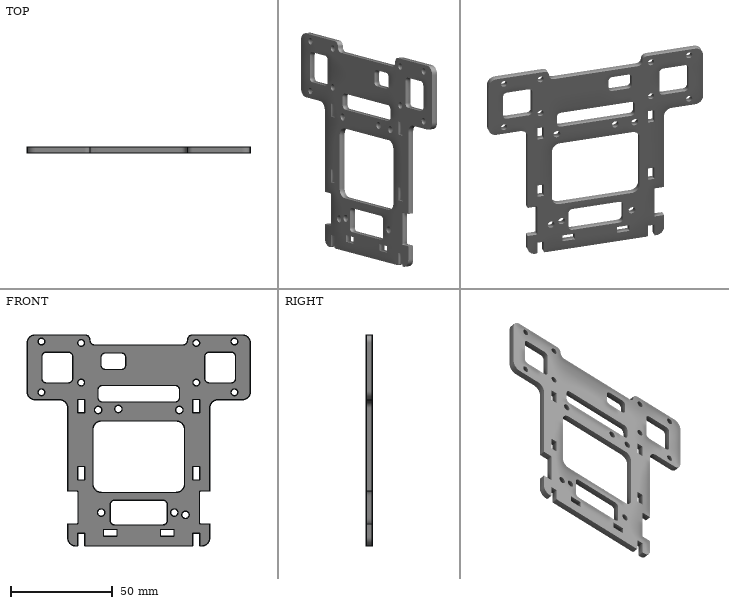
import cadquery as cq

thickness = 3.0

total_width = 110.0
total_height = 104.0
body_width = 70.0
ear_height = 32.0
top_recess_width = 48.0
top_recess_depth = 5.0
outer_radius = 4.0
recess_radius = top_recess_depth / 2

notch_depth = 5.0
notch_bottom = 10.9
notch_height = 16.2
notch_radius = 0.5

tab_width = 3.3
tab_length = 6.5
tab_column_x = body_width / 2 - notch_depth - tab_width / 2
vertical_tab_heights = (35.9, 68.9)
horizontal_tab_x = 14.0
horizontal_tab_height = 6.5
edge_slot_depth = 6.2
edge_slot_radius = 0.5

ear_window_size = 15.0
ear_window_x = 40.1
ear_window_z = 87.9
ear_window_radius = 2.0
windows = [
    (-ear_window_x, ear_window_z, ear_window_size, ear_window_size, ear_window_radius),
    (ear_window_x, ear_window_z, ear_window_size, ear_window_size, ear_window_radius),
    (-12.5, 91.0, 12.0, 8.0, 2.0),
    (0.0, 75.0, 40.0, 8.0, 2.0),
    (0.0, 44.0, 45.0, 35.0, 4.0),
    (0.0, 16.5, 28.0, 12.0, 2.0),
]

ear_hole_diameter = 3.2
ear_holes = [(x, z) for x in (-47.9, 47.1) for z in (75.7, 100.7)]
bracket_hole_diameter = 3.2
bracket_holes = [(x, z) for x in (-tab_column_x, tab_column_x) for z in (80.5, 100.0)]
board_hole_diameter = 3.5
board_holes = [
    (-20.0, 67.0),
    (-10.0, 67.5),
    (20.0, 67.0),
    (-18.5, 16.5),
    (17.5, 16.5),
    (23.0, 15.4),
]


def block(center_x, center_z, width, height, radius=0.0):
    """Block through the full thickness, with optional rounded corners."""
    solid = cq.Workplane("XY").box(width, thickness, height)
    if radius > 0:
        solid = solid.edges("|Y").fillet(radius)
    return solid.translate((center_x, thickness / 2, center_z))


def round_corners(solid, corners, radius):
    """Fillet the thickness-direction edges at the given (x, z) corners, on both sides of X = 0."""
    reach = 0.1
    for x, z in corners:
        for side in (-1, 1):
            low = (side * x - reach, -reach, z - reach)
            high = (side * x + reach, thickness + reach, z + reach)
            solid = solid.edges(cq.selectors.BoxSelector(low, high, boundingbox=True)).fillet(radius)
    return solid


def plate_outline():
    """Body with two wide ears, a recessed top edge, side notches and open bottom slots."""
    ear_bottom = total_height - ear_height
    recess_bottom = total_height - top_recess_depth
    plate = block(0, total_height / 2, body_width, total_height)
    plate = plate.union(block(0, total_height - ear_height / 2, total_width, ear_height))
    plate = plate.cut(block(0, total_height - top_recess_depth / 2, top_recess_width, top_recess_depth))
    notch_x = body_width / 2 - notch_depth / 2
    for side in (-1, 1):
        plate = plate.cut(block(side * notch_x, notch_bottom + notch_height / 2, notch_depth, notch_height))
        plate = plate.cut(block(side * tab_column_x, edge_slot_depth / 2, tab_width, edge_slot_depth))

    outer_corners = [
        (total_width / 2, total_height),
        (total_width / 2, ear_bottom),
        (body_width / 2, ear_bottom),
        (body_width / 2, 0),
    ]
    plate = round_corners(plate, outer_corners, outer_radius)

    arc_clearance = 0.001
    recess_corners = [(top_recess_width / 2, total_height), (top_recess_width / 2, recess_bottom)]
    plate = round_corners(plate, recess_corners, recess_radius - arc_clearance)

    notch_floor_x = body_width / 2 - notch_depth
    notch_corners = [(notch_floor_x, notch_bottom), (notch_floor_x, notch_bottom + notch_height)]
    plate = round_corners(plate, notch_corners, notch_radius)

    slot_mouth_corners = [(tab_column_x - tab_width / 2, 0), (tab_column_x + tab_width / 2, 0)]
    return round_corners(plate, slot_mouth_corners, edge_slot_radius)


def cut_windows(plate):
    for window in windows:
        plate = plate.cut(block(*window))
    return plate


def cut_tab_slots(plate):
    for side in (-1, 1):
        for z in vertical_tab_heights:
            plate = plate.cut(block(side * tab_column_x, z, tab_width, tab_length))
        plate = plate.cut(block(side * horizontal_tab_x, horizontal_tab_height, tab_length, tab_width))
    return plate


def cut_holes(plate, centers, diameter):
    pins = cq.Workplane("XZ").pushPoints(centers).circle(diameter / 2).extrude(-thickness)
    return plate.cut(pins)


result = plate_outline()
result = cut_windows(result)
result = cut_tab_slots(result)
result = cut_holes(result, ear_holes, ear_hole_diameter)
result = cut_holes(result, bracket_holes, bracket_hole_diameter)
result = cut_holes(result, board_holes, board_hole_diameter)